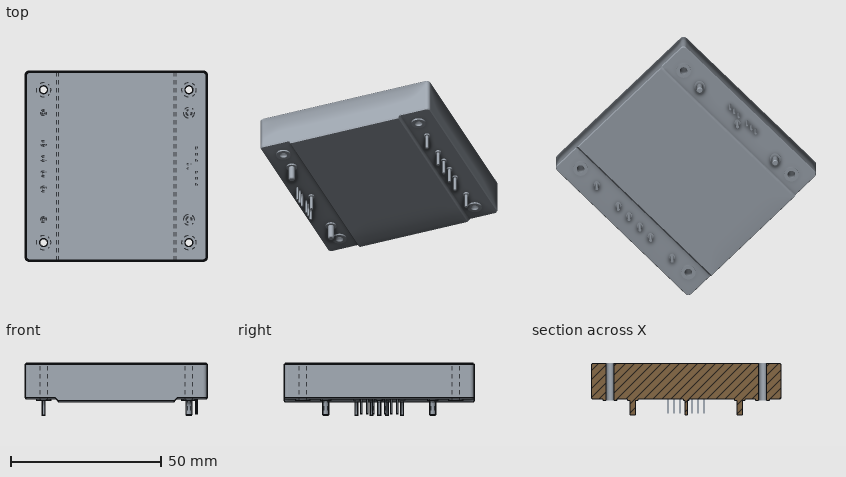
import cadquery as cq
import math

length_x = 60.6
width_y = 63.2
case_height = 12.95
corner_radius = 1.35
top_chamfer = 0.5
bottom_chamfer_height = 0.5
bottom_chamfer_inset = 0.25
bottom_chamfer_taper = math.degrees(math.atan(bottom_chamfer_inset / bottom_chamfer_height))

step_height = 1.0
pad_width = 39.0
pad_ramp_run = 0.8
ramp_bottom_z = bottom_chamfer_height
ramp_top_z = step_height + bottom_chamfer_height

hole_pitch_x = 48.3
hole_pitch_y = 50.8
hole_diameter = 2.54
standoff_diameter = 4.8
collar_height = 0.55

overall_height = 17.35
pin_tip_z = case_height - overall_height
pin_column_x = hole_pitch_x / 2
pin_diameter = 1.0
pin_collar_diameter = 2.0
input_rows_y = [2.54, 7.62, 17.78]
power_pin_diameter = 2.06
power_collar_diameter = 3.6
power_pin_chamfer = 0.25
power_pin_y = 17.78

signal_pin_size = 0.6
signal_pin_offset = 2.54
signal_pin_x = pin_column_x + signal_pin_offset
signal_rows_y = [2.0, 4.0, 6.0]
signal_pin_shortfall = 0.5
signal_tip_z = pin_tip_z + signal_pin_shortfall


def make_cover():
    """Rounded block above the raised bands, with a top chamfer and a steeper bottom chamfer."""
    base_plane = cq.Workplane("XY", origin=(0, 0, ramp_top_z))
    outline = cq.Sketch().rect(length_x, width_y).vertices().fillet(corner_radius)
    walls = base_plane.placeSketch(outline).extrude(case_height - ramp_top_z)
    walls = walls.faces(">Z").chamfer(top_chamfer)
    lower_edge = base_plane.placeSketch(outline).extrude(-bottom_chamfer_height, taper=bottom_chamfer_taper)
    return walls.union(lower_edge)


def make_pad():
    """Central pad with ramped sides in X and a chamfer around its lower face."""
    half_width = pad_width / 2
    ramps = (
        cq.Workplane("XZ")
        .polyline(
            [
                (-half_width - pad_ramp_run, ramp_top_z),
                (-half_width, ramp_bottom_z),
                (half_width, ramp_bottom_z),
                (half_width + pad_ramp_run, ramp_top_z),
            ]
        )
        .close()
        .extrude(width_y / 2, both=True)
    )
    foot = (
        cq.Workplane("XY", origin=(0, 0, ramp_bottom_z))
        .rect(pad_width, width_y)
        .extrude(-bottom_chamfer_height, taper=bottom_chamfer_taper)
    )
    return ramps.union(foot)


def hanging_cylinder(x, y, diameter, tip_z):
    """Cylinder from the raised underside down to tip_z."""
    return cq.Workplane("XY", origin=(x, y, tip_z)).circle(diameter / 2).extrude(step_height - tip_z)


def collar(x, y, diameter):
    """Flat disc under the raised underside."""
    return hanging_cylinder(x, y, diameter, step_height - collar_height)


def small_pin(x, y):
    return hanging_cylinder(x, y, pin_diameter, pin_tip_z).union(collar(x, y, pin_collar_diameter))


def power_pin(x, y):
    pin = hanging_cylinder(x, y, power_pin_diameter, pin_tip_z)
    pin = pin.faces("<Z").chamfer(power_pin_chamfer)
    return pin.union(collar(x, y, power_collar_diameter))


def signal_pin(x, y):
    pin_length = step_height - signal_tip_z
    tip_plane = cq.Workplane("XY", origin=(x, y, signal_tip_z))
    return tip_plane.rect(signal_pin_size, signal_pin_size).extrude(pin_length)


def add_standoffs_and_holes(body):
    """A standoff with a through hole near each corner."""
    for x in (-hole_pitch_x / 2, hole_pitch_x / 2):
        for y in (-hole_pitch_y / 2, hole_pitch_y / 2):
            body = body.union(collar(x, y, standoff_diameter))
    return (
        body.faces(">Z")
        .workplane(origin=(0, 0, case_height))
        .rarray(hole_pitch_x, hole_pitch_y, 2, 2)
        .hole(hole_diameter)
    )


def add_pins(body):
    """Input pins at -X; power, centre and signal pins at +X, mirrored about the XZ plane."""
    body = body.union(small_pin(pin_column_x, 0))
    for side in (-1, 1):
        for y in input_rows_y:
            body = body.union(small_pin(-pin_column_x, side * y))
        for y in signal_rows_y:
            body = body.union(signal_pin(signal_pin_x, side * y))
        body = body.union(power_pin(pin_column_x, side * power_pin_y))
    return body


result = add_pins(add_standoffs_and_holes(make_cover().union(make_pad())))